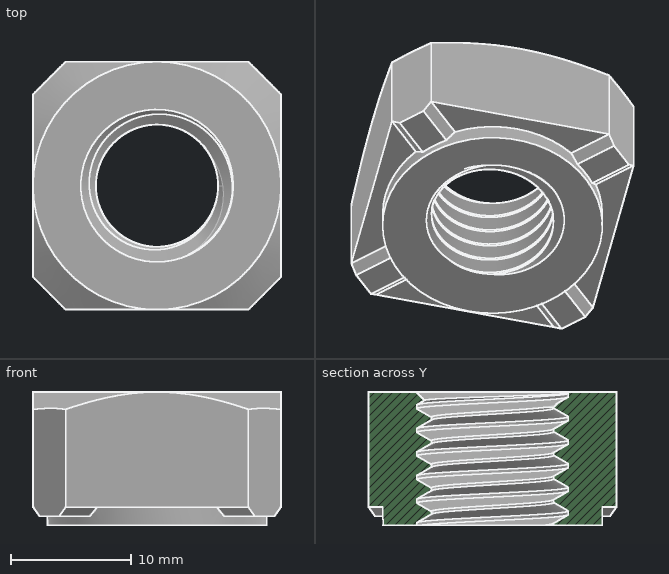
import cadquery as cq
import math

width = 20.65
height = 11.1
corner_cut = 2.72
body_bottom = 1.53
top_bevel_angle = 30.0

ring_diameter = 18.29
foot_bottom = 0.76
foot_side_inset = 0.76

minor_diameter = 10.15
bore_seam_angle = 90.0
mouth_diameter = 12.7
mouth_angle = 45.0

major_diameter = 12.6
pitch = 1.96
crest_width = 0.25
flank_angle = 30.0
thread_start_angle = 12.0
thread_overrun = 1.5 * pitch
groove_overlap = 0.06

corner_face_distance = (width - corner_cut) / math.sqrt(2)
corner_face_width = corner_cut * math.sqrt(2)


def make_body():
    """Square block with cut vertical edges, its top corners bevelled by a cone."""
    block = (
        cq.Workplane("XY")
        .workplane(offset=body_bottom)
        .rect(width, width)
        .extrude(height - body_bottom)
        .edges("|Z")
        .chamfer(corner_cut)
    )
    bevel_reach = width
    bevel_drop = (bevel_reach - width / 2) * math.tan(math.radians(top_bevel_angle))
    envelope = (
        cq.Workplane("XZ")
        .moveTo(0, height)
        .lineTo(width / 2, height)
        .lineTo(bevel_reach, height - bevel_drop)
        .lineTo(bevel_reach, 0)
        .lineTo(0, 0)
        .close()
        .revolve(360, (0, 0, 0), (0, 1, 0))
    )
    return block.intersect(envelope)


def make_pilot_ring():
    """Round disc below the body; the bore later turns it into a ring."""
    return cq.Workplane("XY").circle(ring_diameter / 2).extrude(body_bottom)


def make_foot(angle):
    """Tapered weld foot running from the axis to one cut corner."""
    half_top = corner_face_width / 2
    half_bottom = half_top - foot_side_inset
    return (
        cq.Workplane("YZ")
        .moveTo(-half_top, body_bottom)
        .lineTo(half_top, body_bottom)
        .lineTo(half_bottom, foot_bottom)
        .lineTo(-half_bottom, foot_bottom)
        .close()
        .extrude(corner_face_distance)
        .rotate((0, 0, 0), (0, 0, 1), angle)
    )


def make_bore():
    """Plain through bore, its seam turned away from the start of the thread so that the cut is clean."""
    bore = cq.Workplane("XY").circle(minor_diameter / 2).extrude(height)
    return bore.rotate((0, 0, 0), (0, 0, 1), bore_seam_angle)


def make_mouth():
    """Cone that countersinks the top of the bore."""
    depth = mouth_diameter / 2 / math.tan(math.radians(mouth_angle))
    return (
        cq.Workplane("XZ")
        .moveTo(0, height)
        .lineTo(mouth_diameter / 2, height)
        .lineTo(0, height - depth)
        .close()
        .revolve(360, (0, 0, 0), (0, 1, 0))
    )


def make_thread_groove():
    """Left-hand helical groove with straight flanks, overrunning both ends of the bore."""
    minor_radius = minor_diameter / 2
    major_radius = major_diameter / 2
    inner_radius = minor_radius - groove_overlap
    flank_slope = math.tan(math.radians(flank_angle))
    half_mouth = (pitch - crest_width) / 2
    half_root = half_mouth - (major_radius - minor_radius) * flank_slope
    half_inner = half_mouth + groove_overlap * flank_slope
    helix = cq.Wire.makeHelix(pitch, height + 2 * thread_overrun, minor_radius, lefthand=True)
    groove = (
        cq.Workplane("XZ")
        .moveTo(inner_radius, -half_inner)
        .lineTo(major_radius, -half_root)
        .lineTo(major_radius, half_root)
        .lineTo(inner_radius, half_inner)
        .close()
        .sweep(cq.Workplane(helix), isFrenet=True)
    )
    groove = groove.rotate((0, 0, 0), (0, 0, 1), thread_start_angle)
    return groove.translate((0, 0, -thread_overrun))


nut = make_body().union(make_pilot_ring())
for corner_angle in (45, 135, 225, 315):
    nut = nut.union(make_foot(corner_angle))
nut = nut.cut(make_bore())
nut = nut.cut(make_thread_groove())
result = nut.cut(make_mouth()).solids()